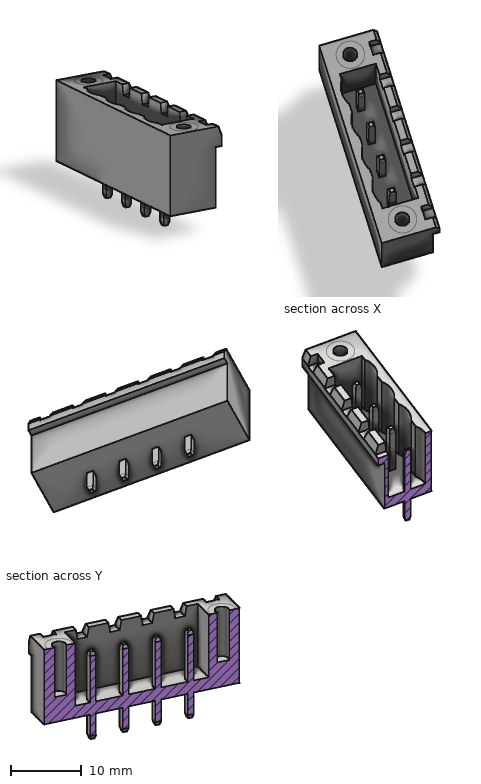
import cadquery as cq
import math

length = 30.48
pin_count = 4
pitch = length / (pin_count + 2)
body_depth = 7.6
body_height = 12.0
pin_y = 3.8

lip_overhang = 1.0
lip_height = 3.02
lip_bevel_depth = 0.58
lip_bevel_height = 1.4
back_y = body_depth + lip_overhang

notch_top_width = 2.0
notch_floor_width = 1.5
notch_depth = 1.52

cavity_length = 20.73
cavity_front_y = 1.6
cavity_back_y = 6.92
cavity_floor_z = 2.0
scallop_width = 3.8
scallop_sag = 0.55

pin_size = 1.0
pin_tip_size = 0.6
pin_tip_height = 0.65
pin_bottom_z = -4.0
pin_top_z = 10.0

bushing_diameter = 4.02
bushing_bore_diameter = 2.0
bushing_bore_depth = 7.92

flange_x = length / 2 - pitch / 2
position_xs = [-flange_x + i * pitch for i in range(pin_count + 2)]
pin_xs = position_xs[1:-1]
flange_xs = [position_xs[0], position_xs[-1]]


def make_housing():
    """Side profile with the bevelled lip, extruded over the whole length."""
    profile = [
        (0, 0),
        (body_depth, 0),
        (body_depth, body_height - lip_height),
        (back_y, body_height - lip_height),
        (back_y, body_height - lip_bevel_height),
        (back_y - lip_bevel_depth, body_height),
        (0, body_height),
    ]
    return cq.Workplane("YZ").polyline(profile).close().extrude(length / 2, both=True)


def make_cavity():
    """Rectangular pocket whose front wall is scalloped in front of every pin."""
    half_length = cavity_length / 2
    half_scallop = scallop_width / 2
    outline = cq.Workplane("XY", origin=(0, 0, cavity_floor_z))
    outline = outline.moveTo(-half_length, cavity_back_y).lineTo(-half_length, cavity_front_y)
    for x in pin_xs:
        outline = outline.lineTo(x - half_scallop, cavity_front_y)
        outline = outline.threePointArc(
            (x, cavity_front_y - scallop_sag), (x + half_scallop, cavity_front_y)
        )
    outline = outline.lineTo(half_length, cavity_front_y).lineTo(half_length, cavity_back_y)
    return outline.close().extrude(body_height - cavity_floor_z)


def make_notch(x):
    """Tapered notch, open at the top and at the back of the lip."""
    floor_z = body_height - notch_depth
    section = [
        (x - notch_floor_width / 2, floor_z),
        (x + notch_floor_width / 2, floor_z),
        (x + notch_top_width / 2, body_height),
        (x - notch_top_width / 2, body_height),
    ]
    plane = cq.Workplane("XZ", origin=(0, back_y, 0))
    return plane.polyline(section).close().extrude(back_y - cavity_back_y)


def pin_section(x, z):
    """Full square cross-section of a pin at height z."""
    return cq.Workplane("XY", origin=(x, pin_y, z)).rect(pin_size, pin_size)


def make_pin(x):
    """Square pin with a tapered tip at both ends."""
    shank_bottom = pin_bottom_z + pin_tip_height
    shank_top = pin_top_z - pin_tip_height
    taper = math.degrees(math.atan((pin_size - pin_tip_size) / 2 / pin_tip_height))
    shank = pin_section(x, shank_bottom).extrude(shank_top - shank_bottom)
    bottom_tip = pin_section(x, shank_bottom).extrude(-pin_tip_height, taper=taper)
    top_tip = pin_section(x, shank_top).extrude(pin_tip_height, taper=taper)
    return shank.union(bottom_tip).union(top_tip)


def make_bushing(x):
    """Blind-bored plug set into the flange."""
    bottom_z = body_height - bushing_bore_depth
    plug = cq.Workplane("XY", origin=(x, pin_y, bottom_z)).circle(bushing_diameter / 2)
    return plug.circle(bushing_bore_diameter / 2).extrude(bushing_bore_depth)


def make_bushing_seat(x):
    """Blind hole that a bushing fills."""
    seat = cq.Workplane("XY", origin=(x, pin_y, body_height)).circle(bushing_diameter / 2)
    return seat.extrude(-bushing_bore_depth)


result = make_housing().cut(make_cavity())
for x in position_xs:
    result = result.cut(make_notch(x))
for x in pin_xs:
    result = result.union(make_pin(x))
for x in flange_xs:
    result = result.cut(make_bushing_seat(x))
for x in flange_xs:
    result = result.union(make_bushing(x), clean=False)